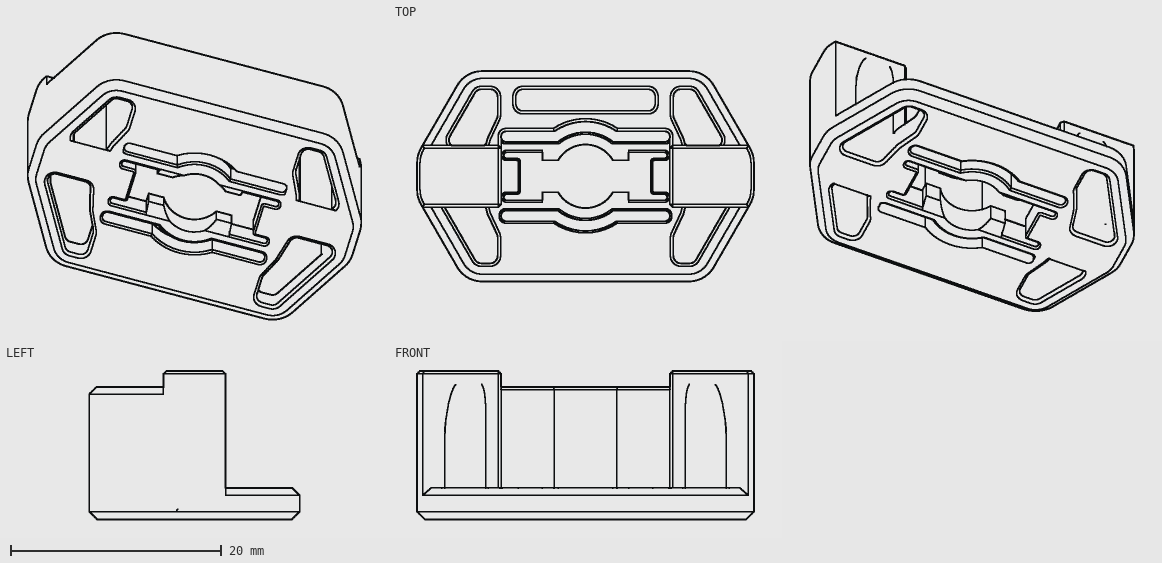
import cadquery as cq
import math

LENGTH = 32.0
WIDTH = 20.0
TOWER_TOP = 14.1
WALL_TOP = 12.6
PLATE_TOP = 3.0

FLANK_ANGLE = 60.0
TIP_HALF_WIDTH = 2.0
OUTLINE_RADIUS = 2.75
BOTTOM_CHAMFER = 0.77
RIM_CHAMFER = 0.7

EDGE_CHAMFER = 0.3
SLOT_CHAMFER = 0.2

TOWER_INNER_X = 8.0
TOWER_HALF_WIDTH = 2.95
POCKET_TOP = 12.93
POCKET_BACK_Y = 0.85

WINDOW_OUTER_Y = 8.25
WINDOW_INNER_X = 8.35
WINDOW_KNEE_Y = 5.63
WINDOW_BEND_X = 9.3
WINDOW_BEND_Y = 3.6
WINDOW_BEND_ANGLE = 76.0
WINDOW_RADIUS = 0.7
REAR_WINDOW_BACK_Y = 2.75
FRAME_THICKNESS = 1.82

ARM_INNER_Y = 2.27
ARM_OUTER_Y = 3.25
SLOT_WIDTH = 1.0
ARM_OUTER_RADIUS = 4.2
SLOT_END_RADIUS = 0.45
BORE_RADIUS = 3.0
JAW_HALF_LENGTH = 4.1
JAW_Y = 1.5
RAMP_HEIGHT = 1.1

TAB_TIP_X = 6.2
TAB_HALF_WIDTH = 1.7
TAB_RADIUS = 0.3
GAP_END_X = 7.75
GAP_RADIUS = 0.25

WALL_POCKET_LENGTH = 13.2
WALL_POCKET_INNER_Y = 6.2
WALL_POCKET_RADIUS = 0.67
WALL_POCKET_FLOOR = PLATE_TOP

SLOT_OUTER_Y = ARM_OUTER_Y + SLOT_WIDTH
SLOT_OUTER_RADIUS = ARM_OUTER_RADIUS + SLOT_WIDTH
TOP_FACE = (">Z",)
BOTTOM_FACE = ("<Z",)
BOTH_FACES = TOP_FACE + BOTTOM_FACE
FLANK_SLOPE = math.tan(math.radians(FLANK_ANGLE))


def block(x_range, y_range, z_range):
    """Axis-aligned box given by its limits."""
    sizes = [high - low for low, high in (x_range, y_range, z_range)]
    corner = (x_range[0], y_range[0], z_range[0])
    return cq.Workplane("XY").box(*sizes, centered=False).translate(corner)


def outline_prism(top, top_chamfer):
    """Rounded hexagonal prism, chamfered at the bottom and the top."""
    tip_x = LENGTH / 2
    side_y = WIDTH / 2
    shoulder_x = tip_x - (side_y - TIP_HALF_WIDTH) / FLANK_SLOPE
    right = [
        (shoulder_x, -side_y),
        (tip_x, -TIP_HALF_WIDTH),
        (tip_x, TIP_HALF_WIDTH),
        (shoulder_x, side_y),
    ]
    left = [(-x, -y) for x, y in right]
    prism = cq.Workplane("XY").polyline(right + left).close().extrude(top)
    prism = prism.edges("|Z").fillet(OUTLINE_RADIUS)
    prism = prism.faces("<Z").edges().chamfer(BOTTOM_CHAMFER)
    return prism.faces(">Z").edges().chamfer(top_chamfer)


def chamfered_opening(prism, chamfer, ends):
    """The opening cut by a prism, with its mouths chamfered on the faces named in ends."""
    top = prism.val().BoundingBox().zmax
    stock = block((-LENGTH, LENGTH), (-WIDTH, WIDTH), (0, top))
    mould = stock.cut(prism)
    mouths = [mould.faces(end).val().innerWires()[0] for end in ends]
    mouth_edges = [edge for mouth in mouths for edge in mouth.Edges()]
    return stock.cut(mould.newObject(mouth_edges).chamfer(chamfer))


def both_ends(solid):
    """A feature at the +X end together with its mirror image at the -X end."""
    return solid.union(solid.mirror("YZ"))


def window_sketch(back_y):
    """Corner window at +X +Y whose edge nearest the X axis lies at back_y."""
    frame_x = FRAME_THICKNESS / math.sin(math.radians(FLANK_ANGLE))

    def flank_x(y):
        return LENGTH / 2 - (y - TIP_HALF_WIDTH) / FLANK_SLOPE - frame_x

    bend_run = (WINDOW_BEND_Y - back_y) / math.tan(math.radians(WINDOW_BEND_ANGLE))
    points = [
        (WINDOW_INNER_X, WINDOW_OUTER_Y),
        (WINDOW_INNER_X, WINDOW_KNEE_Y),
        (WINDOW_BEND_X, WINDOW_BEND_Y),
        (WINDOW_BEND_X + bend_run, back_y),
        (flank_x(back_y), back_y),
        (flank_x(WINDOW_OUTER_Y), WINDOW_OUTER_Y),
    ]
    return cq.Sketch().polygon(points + points[:1]).vertices().fillet(WINDOW_RADIUS)


def window_prism(back_y, top):
    """Corner window extruded from the bottom face up to top."""
    return cq.Workplane("XY").placeSketch(window_sketch(back_y)).extrude(top)


def slot_prism(inner_y, top, around_arm):
    """Straight-ended opening with a bulge in its outer side, and one inside it around an arm."""
    def bulge_x(radius, y):
        return math.sqrt(radius**2 - y**2)

    end_x = TOWER_INNER_X
    outer_x = bulge_x(SLOT_OUTER_RADIUS, SLOT_OUTER_Y)
    profile = cq.Workplane("XY").moveTo(-end_x, inner_y)
    if around_arm:
        arm_x = bulge_x(ARM_OUTER_RADIUS, inner_y)
        profile = profile.lineTo(-arm_x, inner_y)
        profile = profile.threePointArc((0, ARM_OUTER_RADIUS), (arm_x, inner_y))
    profile = (
        profile.lineTo(end_x, inner_y)
        .lineTo(end_x, SLOT_OUTER_Y)
        .lineTo(outer_x, SLOT_OUTER_Y)
        .threePointArc((0, SLOT_OUTER_RADIUS), (-outer_x, SLOT_OUTER_Y))
        .lineTo(-end_x, SLOT_OUTER_Y)
        .close()
    )
    prism = profile.extrude(top)
    return prism.edges("|Z and (<X or >X)").fillet(SLOT_END_RADIUS)


def jaw_opening():
    """Bore with the straight passage between the jaws."""
    bore = cq.Workplane("XY").circle(BORE_RADIUS).extrude(PLATE_TOP)
    passage = block((-JAW_HALF_LENGTH, JAW_HALF_LENGTH), (-JAW_Y, JAW_Y), (0, PLATE_TOP))
    return bore.union(passage)


def tab_gap():
    """Space around the tab at the +X end, chamfered except at the jaws."""
    half = [
        (JAW_HALF_LENGTH, ARM_INNER_Y),
        (GAP_END_X, ARM_INNER_Y),
        (GAP_END_X, TAB_HALF_WIDTH),
        (TAB_TIP_X, TAB_HALF_WIDTH),
    ]
    other_half = [(x, -y) for x, y in reversed(half)]
    gap = cq.Workplane("XY").polyline(half + other_half).close().extrude(PLATE_TOP)
    gap = gap.edges("|Z and >X").fillet(GAP_RADIUS)
    tab_corners = cq.selectors.BoxSelector(
        (JAW_HALF_LENGTH + GAP_RADIUS, -ARM_INNER_Y, 0),
        (TAB_TIP_X + TAB_RADIUS, ARM_INNER_Y, PLATE_TOP),
    )
    gap = gap.edges("|Z").edges(tab_corners).fillet(TAB_RADIUS)
    beyond_jaws = block((JAW_HALF_LENGTH, LENGTH), (-WIDTH, WIDTH), (0, PLATE_TOP))
    return chamfered_opening(gap, SLOT_CHAMFER, BOTH_FACES).intersect(beyond_jaws)


def jaw_ramps():
    """Underside relief that slopes from the jaw faces out to the arms."""
    ramp_end_y = ARM_INNER_Y + SLOT_CHAMFER
    section = [(-ramp_end_y, 0), (ramp_end_y, 0), (JAW_Y, RAMP_HEIGHT), (-JAW_Y, RAMP_HEIGHT)]
    ramps = cq.Workplane("YZ").polyline(section).close()
    return ramps.extrude(JAW_HALF_LENGTH, both=True)


def make_plate():
    """Base plate with the spring arms, tabs and front corner windows."""
    plate = outline_prism(PLATE_TOP, RIM_CHAMFER)
    slot = slot_prism(ARM_OUTER_Y, PLATE_TOP, around_arm=True)
    slot = chamfered_opening(slot, SLOT_CHAMFER, BOTH_FACES)
    window = window_prism(POCKET_BACK_Y, PLATE_TOP)
    window = chamfered_opening(window, EDGE_CHAMFER, BOTH_FACES).mirror("XZ")
    for opening in (slot, slot.mirror("XZ"), both_ends(window), both_ends(tab_gap())):
        plate = plate.cut(opening)
    return plate.cut(jaw_opening()).cut(jaw_ramps())


def make_wall():
    """Tall rear half around the cavity, with a blind pocket in its top."""
    rear_half = block((-LENGTH, LENGTH), (0, WIDTH), (0, TOWER_TOP))
    wall = outline_prism(WALL_TOP, RIM_CHAMFER).intersect(rear_half)
    cavity = slot_prism(-ARM_OUTER_Y, WALL_TOP, around_arm=False)
    pocket_width = WINDOW_OUTER_Y - WALL_POCKET_INNER_Y
    pocket = (
        cq.Workplane("XY", origin=(0, WALL_POCKET_INNER_Y + pocket_width / 2, 0))
        .rect(WALL_POCKET_LENGTH, pocket_width)
        .extrude(WALL_TOP)
        .edges("|Z")
        .fillet(WALL_POCKET_RADIUS)
    )
    above_floor = block((-LENGTH, LENGTH), (0, WIDTH), (WALL_POCKET_FLOOR, WALL_TOP))
    wall = wall.cut(chamfered_opening(cavity, EDGE_CHAMFER, TOP_FACE))
    return wall.cut(chamfered_opening(pocket, EDGE_CHAMFER, TOP_FACE).intersect(above_floor))


def make_tower():
    """Tower at the +X end, with the front window rising into it as a sloped pocket."""
    tower = block(
        (TOWER_INNER_X, LENGTH), (-TOWER_HALF_WIDTH, TOWER_HALF_WIDTH), (0, TOWER_TOP)
    )
    tower = tower.edges("(|Z and <X) or (>Z and (not >X))").chamfer(EDGE_CHAMFER)
    tower = tower.intersect(outline_prism(TOWER_TOP, EDGE_CHAMFER))
    slope = (
        cq.Workplane("XY")
        .placeSketch(
            window_sketch(POCKET_BACK_Y).moved(cq.Location(cq.Vector(0, 0, PLATE_TOP))),
            window_sketch(TOWER_HALF_WIDTH).moved(cq.Location(cq.Vector(0, 0, POCKET_TOP))),
        )
        .loft(ruled=True)
    )
    pocket = chamfered_opening(window_prism(POCKET_BACK_Y, PLATE_TOP), EDGE_CHAMFER, BOTTOM_FACE)
    return tower.cut(pocket.union(slope).mirror("XZ"))


rear_window = window_prism(REAR_WINDOW_BACK_Y, WALL_TOP)
rear_window = chamfered_opening(rear_window, EDGE_CHAMFER, BOTH_FACES)

result = make_plate().union(make_wall()).cut(both_ends(rear_window))
result = result.union(both_ends(make_tower()))